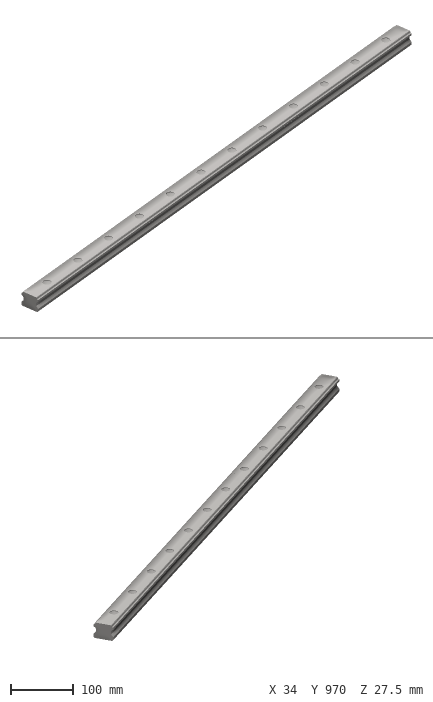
import cadquery as cq

width = 34.0
length = 970.0
height = 27.5
half_width = width / 2

foot_chamfer = 2.0
foot_top = 7.0

waist_half_width = 13.0
waist_bottom = 11.0
waist_top = 16.5

flank_bottom = 20.0
flank_top = 24.0
groove_sag = 0.8
shoulder_half_width = 14.0
top_chamfer = 1.0

hole_count = 12
hole_pitch = 80.0
hole_diameter = 14.0
hole_depth = 1.0


def half_section():
    """Right half of the section, drawn from the bottom centre round to the top centre."""
    return (
        cq.Workplane("XZ")
        .lineTo(half_width - foot_chamfer, 0)
        .lineTo(half_width, foot_chamfer)
        .lineTo(half_width, foot_top)
        .lineTo(waist_half_width, waist_bottom)
        .lineTo(waist_half_width, waist_top)
        .sagittaArc((half_width, flank_bottom), groove_sag)
        .lineTo(half_width, flank_top)
        .sagittaArc((shoulder_half_width, height - top_chamfer), groove_sag)
        .lineTo(shoulder_half_width - top_chamfer, height)
        .lineTo(0, height)
        .close()
    )


def rail_body():
    """Full symmetric rail, centred on X and Y, standing on Z = 0."""
    right_half = half_section().extrude(length / 2, both=True)
    return right_half.union(right_half.mirror("YZ"), clean=True)


def mounting_holes():
    """One row of blind round holes sunk into the top face."""
    return (
        cq.Workplane("XY", origin=(0, 0, height - hole_depth))
        .rarray(1, hole_pitch, 1, hole_count)
        .circle(hole_diameter / 2)
        .extrude(hole_depth)
    )


result = rail_body().cut(mounting_holes())